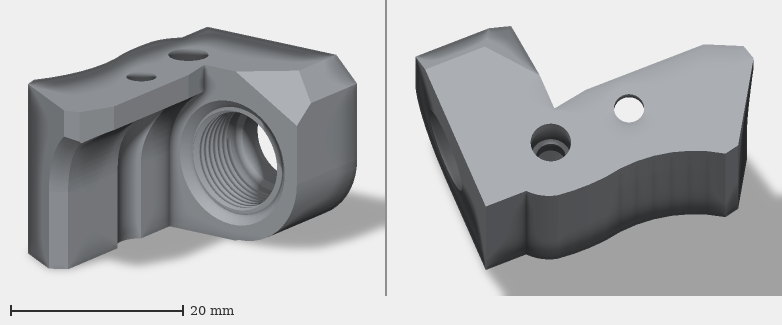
import cadquery as cq
import math


top_z = 11.25
bottom_z = -9.4
height = top_z - bottom_z
block_front_y = -12.05
block_left_x = -12.18
block_right_x = 9.25

shoulder_y = -5.1
shoulder_mid = (-13.55, -6.8)
bulge_start = (-14.07, -8.3)
bulge_mid = (-14.25, -11.28)
waist_start = (-14.1, -14.18)
waist_mid = (-13.9, -21.13)
waist_end = (-16.72, -28.25)
tip_left = (-16.33, -30.0)
tip_front = (-7.0, -35.8)
tip_bevel_end = (-5.15, -35.3)
arm_inner_x = -3.2
tip_right = (arm_inner_x, -31.12)
arm_neck = (arm_inner_x, -16.3)
arm_root = (-3.95, block_front_y)

clearance_radius = 8.95
mouth_ball_radius = 1.3
bevel_overrun = 0.1

top_chamfer = 2.97
bottom_flat_end_x = 0.43
corner_radius = 8.27
corner_bottom_z = -9.2
facet_top_x = 0.5
facet_right_z = 6.23
facet_back_y = -7.5
facet_cutter_side = 28.65

bore_diameter = 10.0
thread_minor_diameter = 11.42
thread_major_diameter = 12.65
thread_pitch = 0.9
thread_root_width = 0.07
thread_mouth_width = 0.8
thread_turns = 8
thread_overlap = 0.05
recess_mouth_diameter = 15.0
recess_floor_diameter = 12.95
recess_depth = 1.0
tapped_depth = 8.6
drill_tip_half_angle = 59.0

pocket_center = (-7.7, -10.03)
pocket_diameter = 4.7
pocket_depth = 5.0
pilot_diameter = 3.5
pilot_depth = 7.15
screw_center = (-7.25, -20.05)
screw_diameter = 3.5
screw_head_diameter = 5.8
screw_lip = 1.0

overshoot = 7.15


def y_cylinder(diameter, y_start, y_end):
    """Cylinder about the bore axis between two Y positions."""
    plane = cq.Workplane("XZ", origin=(0, y_start, 0))
    return plane.circle(diameter / 2).extrude(y_start - y_end)


def y_cone(front_diameter, back_diameter, y_front, y_back):
    """Truncated cone about the bore axis, narrowing from front to back."""
    return (
        cq.Workplane("XY")
        .moveTo(0, y_front)
        .lineTo(front_diameter / 2, y_front)
        .lineTo(back_diameter / 2, y_back)
        .lineTo(0, y_back)
        .close()
        .revolve(360, (0, 0, 0), (0, 1, 0))
    )


def make_arm():
    """Curved arm with the clearance channel and its bevelled mouth."""
    arm = (
        cq.Workplane("XY", origin=(0, 0, bottom_z))
        .moveTo(block_left_x, shoulder_y)
        .threePointArc(shoulder_mid, bulge_start)
        .threePointArc(bulge_mid, waist_start)
        .threePointArc(waist_mid, waist_end)
        .polyline([tip_left, tip_front, tip_bevel_end, tip_right, arm_neck, arm_root], includeCurrent=True)
        .lineTo(arm_root[0], shoulder_y)
        .close()
        .extrude(height)
    )
    return arm.cut(make_channel()).cut(make_mouth_bevel())


def make_channel():
    """Clearance cutter in front of the block: round above the bore axis, square below it."""
    below_z = bottom_z - overshoot
    return (
        cq.Workplane("XZ", origin=(0, block_front_y, 0))
        .moveTo(-clearance_radius, below_z)
        .lineTo(-clearance_radius, 0)
        .threePointArc((0, clearance_radius), (clearance_radius, 0))
        .lineTo(clearance_radius, below_z)
        .close()
        .extrude(block_front_y - tip_front[1] + overshoot)
    )


def make_mouth_bevel():
    """Cutter for the bevel where the channel leaves the sloping tip face.

    The bevel joins the two lines along which a ball, rolled inside the corner, touches the
    tip face and the channel wall. Both lines are ellipses on the curved part of the channel.
    """
    ball = mouth_ball_radius
    slope = (tip_front[1] - tip_left[1]) / (tip_front[0] - tip_left[0])
    slant = math.hypot(1, slope)
    face_normal = (slope / slant, -1 / slant)
    center_y = tip_left[1] - slope * tip_left[0] + ball * slant
    rise = slope * (clearance_radius + ball)

    def bevel_ellipse(share):
        """Center and X reach of an ellipse; share 0 is on the channel wall, 1 on the tip face."""
        center = (share * ball * face_normal[0], center_y + share * ball * face_normal[1])
        return center, clearance_radius + share * ball

    def ring(share):
        """Full ellipse at the given share of the bevel width."""
        center, reach = bevel_ellipse(share)
        plane = cq.Plane((*center, 0), (reach, rise, 0), (rise, -reach, 0))
        return cq.Workplane(plane).ellipse(math.hypot(reach, rise), reach).wires().val()

    def left_end(share):
        """Point where that ellipse runs into the straight, lower part of the bevel."""
        center, reach = bevel_ellipse(share)
        return (center[0] - reach, center[1] - rise)

    inner, outer = -bevel_overrun, 1 + bevel_overrun
    curved = cq.Workplane(obj=cq.Solid.makeLoft([ring(inner), ring(outer)], True))
    inner_corner = left_end(inner)
    outer_corner = left_end(outer)
    straight = (
        cq.Workplane("XY")
        .polyline([inner_corner, outer_corner, (inner_corner[0], outer_corner[1] - overshoot)])
        .close()
        .extrude(bottom_z)
    )
    return curved.union(straight)


def make_block():
    """Bore block with its rounded and chamfered right side."""
    corner_x = block_right_x - corner_radius
    corner_z = corner_bottom_z + corner_radius
    diagonal = corner_radius * math.sqrt(0.5)
    block = (
        cq.Workplane("XZ")
        .moveTo(block_left_x, bottom_z)
        .lineTo(bottom_flat_end_x, bottom_z)
        .lineTo(corner_x, corner_bottom_z)
        .threePointArc((corner_x + diagonal, corner_z - diagonal), (block_right_x, corner_z))
        .lineTo(block_right_x, top_z - top_chamfer)
        .lineTo(block_right_x - top_chamfer, top_z)
        .lineTo(block_left_x, top_z)
        .close()
        .extrude(-block_front_y)
    )
    return block.cut(make_facet())


def make_facet():
    """Cutter that slices the upper right front corner off the block."""
    on_front_top = cq.Vector(facet_top_x, block_front_y, top_z)
    on_front_right = cq.Vector(block_right_x, block_front_y, facet_right_z)
    on_chamfer = cq.Vector(block_right_x - top_chamfer, facet_back_y, top_z)
    along = on_front_right - on_front_top
    normal = along.cross(on_chamfer - on_front_top)
    plane = cq.Plane(on_front_top, along, normal)
    return cq.Workplane(plane).rect(facet_cutter_side, facet_cutter_side).extrude(overshoot)


def make_thread():
    """Helical V groove for the tapped length."""
    root_radius = thread_major_diameter / 2
    mouth_radius = thread_minor_diameter / 2 - thread_overlap
    helix = cq.Wire.makeHelix(thread_pitch, thread_turns * thread_pitch, root_radius)
    groove = (
        cq.Workplane("XZ")
        .moveTo(mouth_radius, -thread_mouth_width / 2)
        .lineTo(root_radius, -thread_root_width / 2)
        .lineTo(root_radius, thread_root_width / 2)
        .lineTo(mouth_radius, thread_mouth_width / 2)
        .close()
        .sweep(cq.Workplane(obj=helix), isFrenet=True)
    )
    start_y = block_front_y + recess_depth - thread_pitch
    groove = groove.rotate((0, 0, 0), (0, 0, 1), 180)
    groove = groove.rotate((0, 0, 0), (1, 0, 0), -90)
    return groove.translate((0, start_y, 0))


def drill_tip_length(radius_change):
    """Length of a drill-tip cone over which the radius changes by the given amount."""
    return radius_change / math.tan(math.radians(drill_tip_half_angle))


def make_bore():
    """Through bore, tapped hole with drill tip, and conical recess."""
    recess_floor_y = block_front_y + recess_depth
    tapped_end_y = block_front_y + tapped_depth
    tip_length = drill_tip_length((thread_minor_diameter - bore_diameter) / 2)
    return (
        y_cylinder(bore_diameter, 0, block_front_y)
        .union(y_cylinder(thread_minor_diameter, tapped_end_y, block_front_y))
        .union(y_cone(thread_minor_diameter, bore_diameter, tapped_end_y, tapped_end_y + tip_length))
        .union(y_cone(recess_mouth_diameter, recess_floor_diameter, block_front_y, recess_floor_y))
    )


def z_hole(center, diameter, z_top, z_bottom):
    """Vertical cylinder between two heights."""
    return cq.Workplane("XY", origin=(*center, z_bottom)).circle(diameter / 2).extrude(z_top - z_bottom)


def make_pocket():
    """Stepped blind hole with a conical drill tip."""
    pilot_radius = pilot_diameter / 2
    tip_length = drill_tip_length(pilot_radius)
    tip = cq.Solid.makeCone(
        0, pilot_radius, tip_length, cq.Vector(*pocket_center, top_z - pilot_depth - tip_length)
    )
    return (
        z_hole(pocket_center, pocket_diameter, top_z, top_z - pocket_depth)
        .union(z_hole(pocket_center, pilot_diameter, top_z, top_z - pilot_depth))
        .union(cq.Workplane(obj=tip))
    )


def make_screw_hole():
    """Through hole, widened from below for a screw head."""
    return z_hole(screw_center, screw_diameter, top_z, bottom_z).union(
        z_hole(screw_center, screw_head_diameter, top_z - screw_lip, bottom_z)
    )


result = (
    make_block()
    .union(make_arm())
    .cut(make_bore())
    .cut(make_thread())
    .cut(make_pocket())
    .cut(make_screw_hole())
)